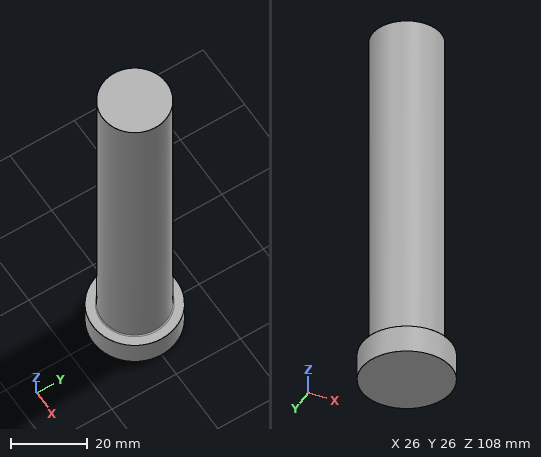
import cadquery as cq

total_length = 108.0
head_diameter = 26.0
head_height = 8.0
shank_diameter = 20.0
root_fillet = 0.3

head = cq.Workplane("XY").circle(head_diameter / 2).extrude(head_height)
shank = cq.Workplane("XY").circle(shank_diameter / 2).extrude(total_length)
pin = head.union(shank)

shank_root = cq.selectors.RadiusNthSelector(0)
result = pin.faces("<Z[-2]").edges(shank_root).fillet(root_fillet)